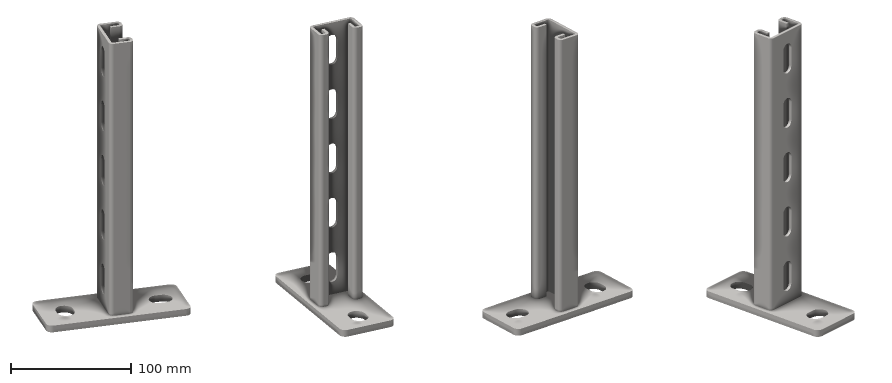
import cadquery as cq

total_height = 256.0
plate_width = 50.0
plate_length = 125.0
plate_thickness = 6.1
plate_corner_radius = 5.0

mount_slot_length = 20.0
mount_slot_width = 14.8
rear_slot_y = 42.5
front_slot_y = -40.2

channel_width = 41.0
channel_depth = 21.0
channel_web_y = -7.5
wall = 2.5
bend_radius = 3.5
inner_bend_radius = bend_radius - wall
lip_width = 9.5
lip_length = 10.8

web_slot_length = 27.1
web_slot_width = 10.2
web_slot_count = 5
channel_height = total_height - plate_thickness
web_slot_pitch = channel_height / web_slot_count


def make_plate():
    plate = (
        cq.Workplane("XY")
        .rect(plate_width, plate_length)
        .extrude(plate_thickness)
        .edges("|Z")
        .fillet(plate_corner_radius)
    )
    for slot_y, angle in ((rear_slot_y, 90), (front_slot_y, 0)):
        cutter = (
            cq.Workplane("XY")
            .center(0, slot_y)
            .slot2D(mount_slot_length, mount_slot_width, angle)
            .extrude(plate_thickness)
        )
        plate = plate.cut(cutter)
    return plate


def upright_block(x_min, x_max, y_min, y_max, radius, rounded_edges="|Z"):
    """Full-height block standing on the plate, with rounded vertical edges."""
    return (
        cq.Workplane("XY", origin=(0, 0, plate_thickness))
        .moveTo((x_min + x_max) / 2, (y_min + y_max) / 2)
        .rect(x_max - x_min, y_max - y_min)
        .extrude(channel_height)
        .edges(rounded_edges)
        .fillet(radius)
    )


def make_channel():
    half_width = channel_width / 2
    open_y = channel_web_y + channel_depth
    lip_x = half_width - lip_width
    lip_end_y = open_y - lip_length

    channel = upright_block(-half_width, half_width, channel_web_y, open_y, bend_radius)

    below_lips = (
        cq.Workplane("XY", origin=(0, 0, plate_thickness))
        .moveTo(0, (channel_web_y + wall + lip_end_y) / 2)
        .rect(channel_width - 2 * wall, lip_end_y - channel_web_y - wall)
        .extrude(channel_height)
        .edges("|Z and <Y")
        .fillet(inner_bend_radius)
    )
    mouth = (
        cq.Workplane("XY", origin=(0, 0, plate_thickness))
        .moveTo(0, (lip_end_y + open_y) / 2)
        .rect(channel_width, open_y - lip_end_y)
        .extrude(channel_height)
    )
    channel = channel.cut(below_lips).cut(mouth)

    hook = upright_block(lip_x, half_width, lip_end_y, open_y, bend_radius, "|Z and >Y")
    hook_cavity = upright_block(
        lip_x + wall, half_width - wall, lip_end_y, open_y - wall, inner_bend_radius, "|Z and >Y"
    )
    hook = hook.cut(hook_cavity)
    return channel.union(hook).union(hook.mirror("YZ"))


def make_web_slots():
    slot_centres = [
        (0, plate_thickness + (index + 0.5) * web_slot_pitch) for index in range(web_slot_count)
    ]
    return (
        cq.Workplane("XZ", origin=(0, channel_web_y, 0))
        .pushPoints(slot_centres)
        .slot2D(web_slot_length, web_slot_width, 90)
        .extrude(-wall)
    )


result = make_plate().union(make_channel().cut(make_web_slots()))